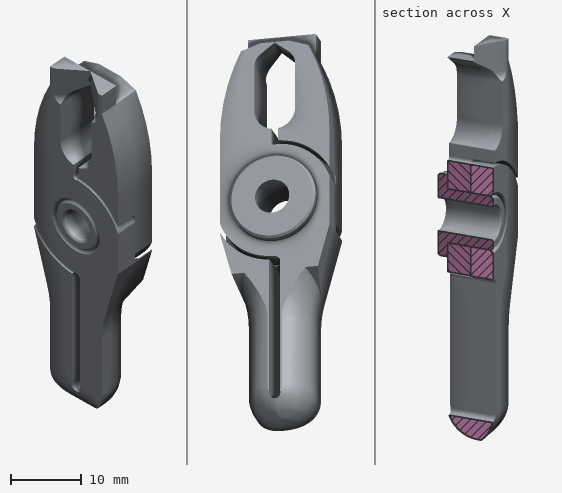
import cadquery as cq
import math

LENGTH = 59.5
BODY_HALF_WIDTH = 16.0 / 2
THICKNESS = 7.2
MID_Y = THICKNESS / 2

HEAD_HALF_WIDTH = 4.95
HEAD_BASE_Z = 56.2
JAW_ARC_START_Z = 43.2

HANDLE_HALF_WIDTH = 4.95
TAPER_TOP_Z = 28.7
FLARE_START_Z = 15.45
FLARE_RADIUS = 14.9

PARTING_Y = 1.95
ROUND_RADIUS = 5.5
ROUND_AXIS_X = HANDLE_HALF_WIDTH - ROUND_RADIUS
SHOULDER_RISE = 3.1
TIP_ARC_RADIUS = THICKNESS - PARTING_Y

STEP_Y = 3.05
ROOF_Z = 57.2
ROOF_HALF_WIDTH = 2.1
GROOVE_HALF_WIDTH = 4.2
GROOVE_BOTTOM_Z = 53.45
GROOVE_FILLET = 1.4

OPENING_HALF_WIDTH = 3.0
OPENING_TIP_Z = 57.05
OPENING_CORNER_Z = 54.85
OPENING_CORNER_RADIUS = 2.4
OPENING_ARC_Z = 46.95

JAW_SLOT_WIDTH = 0.95
JAW_SLOT_BOTTOM_Z = 41.55
HANDLE_SLOT_WIDTH = 1.6
HANDLE_SLOT_TOP_Z = 24.6
HANDLE_SLOT_BOTTOM_Z = 3.05

PIVOT_Z = 33.15
DISK_RADIUS = 8.5
DISK_GAP = 0.55
RIVET_RADIUS = 4.05
RIVET_CHAMFER = 0.35
RIVET_BORE_RADIUS = 2.5
RIVET_BORE_CHAMFER = 0.25
COUNTERSINK = 0.5
RIVET_HEAD_RADIUS = 6.25
RIVET_HEAD_HEIGHT = 1.5
RIVET_HEAD_CHAMFER = 0.3

FLARE_CENTER_X = HANDLE_HALF_WIDTH + FLARE_RADIUS
TAPER_DX = FLARE_CENTER_X - BODY_HALF_WIDTH
TAPER_DZ = TAPER_TOP_Z - FLARE_START_Z
FLARE_ANGLE = math.atan2(TAPER_DZ, TAPER_DX) - math.acos(
    FLARE_RADIUS / math.hypot(TAPER_DX, TAPER_DZ)
)

TIP_DIAGONAL = HANDLE_HALF_WIDTH * math.sqrt(0.5)
TIP_ARC_MIDDLE = (TIP_DIAGONAL, HANDLE_HALF_WIDTH - TIP_DIAGONAL)


def flare_point(angle):
    """Point on the concave flare arc, at an angle measured up from its lower end."""
    return (
        FLARE_CENTER_X - FLARE_RADIUS * math.cos(angle),
        FLARE_START_Z + FLARE_RADIUS * math.sin(angle),
    )


def front_plane(y=0.0):
    """XZ workplane at depth y; extrude by a negative length to go towards +Y."""
    return cq.Workplane("XZ", origin=(0, y, 0))


def box(x_range, y_range, z_range):
    """Box between the start and end given for each axis."""
    sizes = [end - start for start, end in (x_range, y_range, z_range)]
    corner = (x_range[0], y_range[0], z_range[0])
    return cq.Workplane("XY").box(*sizes, centered=False).translate(corner)


def disk(radius, y_start, y_end):
    """Disk on the pivot axis."""
    return front_plane(y_start).center(0, PIVOT_Z).circle(radius).extrude(y_start - y_end)


def half_outline():
    """Outline of the +X half, extruded through the full thickness."""
    jaw_dx = BODY_HALF_WIDTH - HEAD_HALF_WIDTH
    jaw_dz = HEAD_BASE_Z - JAW_ARC_START_Z
    jaw_radius = (jaw_dx**2 + jaw_dz**2) / (2 * jaw_dx)
    jaw_mid_angle = math.asin(jaw_dz / jaw_radius) / 2
    jaw_mid = (
        BODY_HALF_WIDTH - jaw_radius * (1 - math.cos(jaw_mid_angle)),
        JAW_ARC_START_Z + jaw_radius * math.sin(jaw_mid_angle),
    )
    return (
        front_plane()
        .moveTo(0, 0)
        .threePointArc(TIP_ARC_MIDDLE, (HANDLE_HALF_WIDTH, HANDLE_HALF_WIDTH))
        .lineTo(HANDLE_HALF_WIDTH, FLARE_START_Z)
        .threePointArc(flare_point(FLARE_ANGLE / 2), flare_point(FLARE_ANGLE))
        .lineTo(BODY_HALF_WIDTH, TAPER_TOP_Z)
        .lineTo(BODY_HALF_WIDTH, JAW_ARC_START_Z)
        .threePointArc(jaw_mid, (HEAD_HALF_WIDTH, HEAD_BASE_Z))
        .lineTo(HEAD_HALF_WIDTH, LENGTH)
        .lineTo(0, LENGTH)
        .close()
        .extrude(-THICKNESS)
    )


def handle_rounding():
    """Material removed to round the back of the +X handle, up to a sloping shoulder."""
    shoulder_z = flare_point(FLARE_ANGLE)[1]
    region = (
        cq.Workplane("YZ")
        .moveTo(PARTING_Y, 0)
        .lineTo(THICKNESS, 0)
        .lineTo(THICKNESS, shoulder_z + SHOULDER_RISE)
        .lineTo(PARTING_Y, shoulder_z)
        .close()
        .extrude(BODY_HALF_WIDTH)
    )
    top_angle = math.asin((shoulder_z + SHOULDER_RISE - FLARE_START_Z) / FLARE_RADIUS)
    top_point = flare_point(top_angle)
    rounded_handle = (
        front_plane(PARTING_Y)
        .moveTo(ROUND_AXIS_X, 0)
        .lineTo(0, 0)
        .threePointArc(TIP_ARC_MIDDLE, (HANDLE_HALF_WIDTH, HANDLE_HALF_WIDTH))
        .lineTo(HANDLE_HALF_WIDTH, FLARE_START_Z)
        .threePointArc(flare_point(top_angle / 2), top_point)
        .lineTo(ROUND_AXIS_X, top_point[1])
        .close()
        .revolve(360, (ROUND_AXIS_X, 0), (ROUND_AXIS_X, 1))
    )
    return region.cut(rounded_handle)


def tip_rounding():
    """Material removed to round the front of the handle tip, with an arc along X."""
    center_y = TIP_ARC_RADIUS
    center_z = math.sqrt(TIP_ARC_RADIUS**2 - (center_y - PARTING_Y) ** 2)
    mid_angle = math.asin(center_z / TIP_ARC_RADIUS) / 2
    mid_point = (
        center_y - TIP_ARC_RADIUS * math.cos(mid_angle),
        center_z - TIP_ARC_RADIUS * math.sin(mid_angle),
    )
    return (
        cq.Workplane("YZ")
        .moveTo(0, 0)
        .lineTo(PARTING_Y, 0)
        .threePointArc(mid_point, (0, center_z))
        .close()
        .extrude(BODY_HALF_WIDTH)
    )


def head_step():
    """Material removed above the lower, roof-shaped back of the jaw."""
    return (
        front_plane(STEP_Y)
        .moveTo(0, ROOF_Z)
        .lineTo(ROOF_HALF_WIDTH, ROOF_Z)
        .lineTo(HEAD_HALF_WIDTH, HEAD_BASE_Z)
        .lineTo(HEAD_HALF_WIDTH, LENGTH)
        .lineTo(0, LENGTH)
        .close()
        .extrude(STEP_Y - THICKNESS)
    )


def cutting_groove():
    """Half of the V groove that leaves a cutting edge at x = 0, with a rounded bottom."""
    bottom_edge_middle = (GROOVE_HALF_WIDTH / 2, STEP_Y / 2, GROOVE_BOTTOM_Z)
    return (
        cq.Workplane("XY", origin=(0, 0, GROOVE_BOTTOM_Z))
        .polyline([(0, 0), (GROOVE_HALF_WIDTH, 0), (0, STEP_Y)])
        .close()
        .extrude(LENGTH - GROOVE_BOTTOM_Z)
        .faces("<Z")
        .edges(cq.selectors.NearestToPointSelector(bottom_edge_middle))
        .fillet(GROOVE_FILLET)
    )


def jaw_opening():
    """Pointed opening between the jaws, through the full thickness."""
    arch = (
        front_plane()
        .polyline(
            [
                (-OPENING_HALF_WIDTH, OPENING_ARC_Z),
                (-OPENING_HALF_WIDTH, OPENING_CORNER_Z),
                (0, OPENING_TIP_Z),
                (OPENING_HALF_WIDTH, OPENING_CORNER_Z),
                (OPENING_HALF_WIDTH, OPENING_ARC_Z),
            ]
        )
        .close()
        .extrude(-THICKNESS)
    )
    for side in (-1, 1):
        corner = (side * OPENING_HALF_WIDTH, MID_Y, OPENING_CORNER_Z)
        arch = arch.edges(cq.selectors.NearestToPointSelector(corner)).fillet(OPENING_CORNER_RADIUS)
    base = front_plane().center(0, OPENING_ARC_Z).circle(OPENING_HALF_WIDTH).extrude(-THICKNESS)
    return arch.union(base)


def round_slot(width, bottom_z, top_z):
    """Slot along Z with full-round ends, through the full thickness."""
    return (
        front_plane()
        .center(0, (bottom_z + top_z) / 2)
        .slot2D(top_z - bottom_z, width, 90)
        .extrude(-THICKNESS)
    )


def both_sides():
    """Closed pliers shape that the two levers are cut from."""
    half = (
        half_outline()
        .cut(handle_rounding())
        .cut(tip_rounding())
        .cut(head_step())
        .cut(cutting_groove())
    )
    return (
        half.union(half.mirror("YZ"))
        .cut(jaw_opening())
        .cut(round_slot(JAW_SLOT_WIDTH, JAW_SLOT_BOTTOM_Z, OPENING_ARC_Z))
        .cut(round_slot(HANDLE_SLOT_WIDTH, HANDLE_SLOT_BOTTOM_Z, HANDLE_SLOT_TOP_Z))
    )


def rivet_hole():
    """Hole for the rivet shank, countersunk at the front."""
    countersink = cq.Workplane(
        cq.Solid.makeCone(
            RIVET_RADIUS + COUNTERSINK,
            RIVET_RADIUS,
            COUNTERSINK,
            pnt=cq.Vector(0, 0, PIVOT_Z),
            dir=cq.Vector(0, 1, 0),
        )
    )
    return disk(RIVET_RADIUS, 0, THICKNESS).union(countersink)


def make_lever(pliers, jaw_side, own_layer, other_layer):
    """Lever with its jaw on one side of x = 0, its handle on the other, and a half-thick lap disk."""
    jaw_x = sorted((0, jaw_side * BODY_HALF_WIDTH))
    handle_x = sorted((0, -jaw_side * BODY_HALF_WIDTH))
    territory = (
        box(jaw_x, (0, THICKNESS), (PIVOT_Z, LENGTH))
        .union(box(handle_x, (0, THICKNESS), (0, PIVOT_Z)))
        .cut(disk(DISK_RADIUS + DISK_GAP, *other_layer))
        .union(disk(DISK_RADIUS, *own_layer))
    )
    return pliers.intersect(territory).cut(rivet_hole())


def make_rivet():
    """Tubular rivet, flush at the front, with a flat head behind the levers."""
    back_y = THICKNESS + RIVET_HEAD_HEIGHT
    shank = disk(RIVET_RADIUS, 0, THICKNESS).faces("<Y").chamfer(RIVET_CHAMFER)
    head = disk(RIVET_HEAD_RADIUS, THICKNESS, back_y).faces(">Y").chamfer(RIVET_HEAD_CHAMFER)
    bore = disk(RIVET_BORE_RADIUS, 0, back_y)
    bored = shank.union(head).cut(bore)
    bore_mouth = cq.selectors.RadiusNthSelector(0)
    return bored.faces("<Y").edges(bore_mouth).chamfer(RIVET_BORE_CHAMFER)


front_layer = (0, MID_Y)
back_layer = (MID_Y, THICKNESS)

pliers = both_sides()
front_lever = make_lever(pliers, -1, front_layer, back_layer)
back_lever = make_lever(pliers, 1, back_layer, front_layer)
rivet = make_rivet()

bodies = [front_lever, back_lever, rivet]
result = cq.Compound.makeCompound([body.solids().val() for body in bodies])